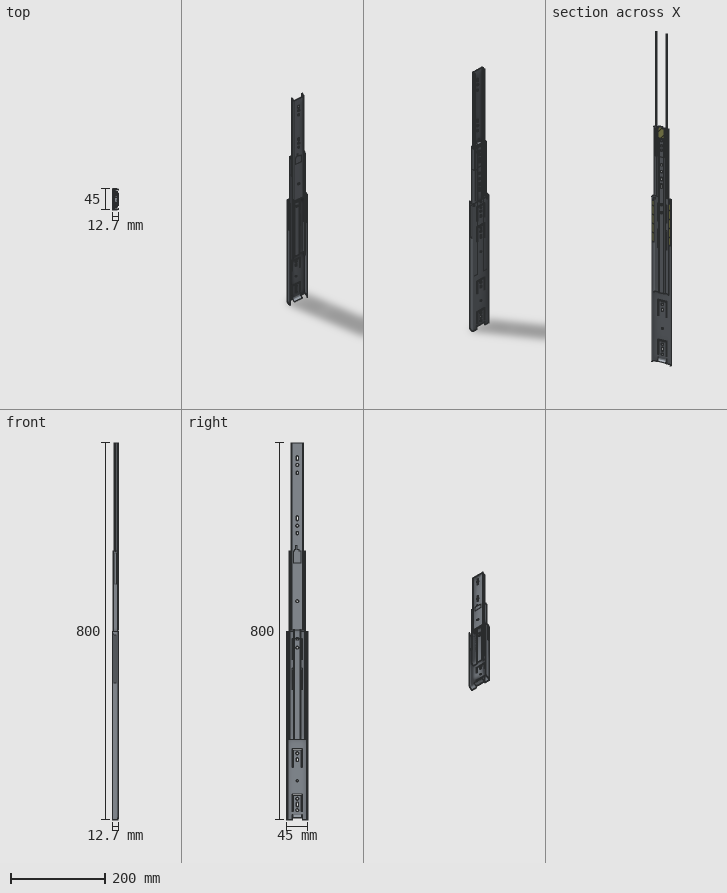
import cadquery as cq
import math

SLIDE_LENGTH = 800.0
SLIDE_WIDTH = 44.98
SLIDE_DEPTH = 12.7
SHEET = 1.2
RUNNING_GAP = 0.05
LIP_BEND_LENGTH = 1.5
LIP_ANGLE = math.radians(17)

OUTER_LENGTH = 400.0
OUTER_HALF = SLIDE_WIDTH / 2
OUTER_BEND = 1.6
OUTER_LIP_START = 8.0
LIP_TRIM_LENGTH = 3.0
LIP_TRIM_DEPTH = 0.6

MIDDLE_BOTTOM = 170.0
MIDDLE_TOP = 570.0
MIDDLE_HALF = 17.5
MIDDLE_BACK = 2.0
MIDDLE_FRONT = 11.4
MIDDLE_BEND = 2.2
MIDDLE_LIP_START = 6.8
SUNK_TOP_HALF = 8.2
SUNK_FLOOR_HALF = 5.4
SUNK_DEPTH = 2.0
SUNK_TOP = MIDDLE_TOP - 2.6

INNER_BOTTOM = 403.0
INNER_TOP = SLIDE_LENGTH
INNER_HALF = 13.4
INNER_BACK = 3.96
INNER_BEND = 1.0
INNER_FLANGE = 2.2
RACE_CENTRE = 8.3
RACE_LENGTH = 3.0
RACE_DEPTH = 0.7

OUTER_RETAINER_BOTTOM = 290.0
OUTER_RETAINER_TOP = 392.0
OUTER_RETAINER_BACK = 4.0
OUTER_RETAINER_FRONT = 8.0
INNER_RETAINER_BOTTOM = 500.0
INNER_RETAINER_TOP = 566.0
INNER_RETAINER_SHEET = 0.6
INNER_RETAINER_HALF = 15.2
INNER_RETAINER_LEG = 1.6
INNER_RETAINER_FRONT = 8.5

LATCH_BODY_BACK = 6.0
LATCH_BODY_HALF = 7.5
LATCH_BODY_BOTTOM = 545.0
LATCH_HEAD_BACK = 4.4
LATCH_HEAD_LEFT = 4.0
LATCH_HEAD_RIGHT = -6.4
LATCH_HEAD_TOP = 573.5
FINGER_WIDTH = 2.6
FINGER_THICKNESS = 1.5
FINGER_CENTRE = -2.4
FINGER_TOP = 582.5

SMALL_HOLE = 4.2
SCREW_HOLE = 5.6
CRIMP_HOLE = 4.6
CRIMP_OFFSET = 18.0
CRIMP_HEIGHT = 394.5
GUIDE_HOLE = 5.0
GUIDE_OFFSET = 8.4
GUIDE_HEIGHT = 555.5
LONG_SLOT = 10.0
SHORT_SLOT = 6.4
OUTER_SMALL_HOLES = [394.0, 375.5, 311.0, 289.0, 282.0, 237.2, 83.0]
OUTER_SCREW_HOLES = [365.2, 301.2, 141.2, 44.6, 20.5]
OUTER_SLOTS = [(349.5, 7.6), (127.7, 8.0), (32.5, LONG_SLOT)]
MIDDLE_SCREW_HOLES = [550.5, 539.5, 526.5, 516.5, 480.7, 463.9, 427.0, 384.5, 365.2]
MIDDLE_SLOTS = [(446.5, LONG_SLOT), (432.5, SHORT_SLOT)]
INNER_SCREW_HOLES = [753.0, 624.0, 463.9]
INNER_SLOTS = [(767.5, LONG_SLOT), (736.0, SHORT_SLOT), (639.8, LONG_SLOT), (608.4, SHORT_SLOT)]

TONGUE_SLITS = [(340.5, 384.5, 2.6), (276.0, 322.0, 4.4), (112.0, 150.8, 2.6), (18.0, 54.4, 2.6)]
SLIT_OUTER_HALF = 11.0
SLIT_INNER_HALF = 8.6
SLIT_CORNER = 1.5

STOP_CUT_HALF = 10.6
STOP_HALF = 10.0
STOP_BOTTOM = 3.5
STOP_BEND = 7.2
STOP_REACH = 11.0


def extrude(outline, bottom, top):
    """Raise an outline drawn in X and Y from one height to another."""
    return outline.extrude(top - bottom).translate((0, 0, bottom))


def box(x_range, y_range, z_range):
    """A block given by its limits along each axis."""
    size = [limits[1] - limits[0] for limits in (x_range, y_range, z_range)]
    corner = (x_range[0], y_range[0], z_range[0])
    return cq.Workplane("XY").box(*size, centered=False).translate(corner)


def lip_points(half, lip_start, front, radius):
    """Middle and end of the lip bend, and the tip of the straight lip after it."""
    bend_points = [
        (lip_start + radius * math.sin(angle), half - radius * (1 - math.cos(angle)))
        for angle in (LIP_ANGLE / 2, LIP_ANGLE)
    ]
    bend_end = bend_points[1]
    tip = (front, bend_end[1] - (front - bend_end[0]) * math.tan(LIP_ANGLE))
    return (*bend_points, tip)


def half_section(half, back, front, bend, lip_start, lip_radius):
    """Solid half of a channel's outline: round web bend at the back, lip leaning in at the front."""
    turn = math.sqrt(0.5)
    lip_middle, lip_end, tip = lip_points(half, lip_start, front, lip_radius)
    return (
        cq.Workplane("XY")
        .moveTo(back, 0)
        .lineTo(back, half - bend)
        .threePointArc((back + bend * (1 - turn), half - bend * (1 - turn)), (back + bend, half))
        .lineTo(lip_start, half)
        .threePointArc(lip_middle, lip_end)
        .lineTo(*tip)
        .lineTo(front, 0)
        .close()
    )


def channel(half, back, front, bend, lip_start, bottom, top):
    """Sheet channel open towards +X, with its flange lips leaning inwards."""
    radius = LIP_BEND_LENGTH / math.sin(LIP_ANGLE)
    shell = extrude(half_section(half, back, front, bend, lip_start, radius), bottom, top)
    hollow_section = half_section(
        half - SHEET, back + SHEET, front, bend - SHEET, lip_start, radius - SHEET
    )
    side = shell.cut(extrude(hollow_section, bottom, top))
    return side.union(side.mirror("XZ"))


def sunk_web(back, half, sheet, bottom, top):
    """Flat web whose middle strip is sunk towards +X between two sloping walls."""
    floor = back + SUNK_DEPTH
    return extrude(
        cq.Workplane("XY").polyline([
            (back, -half),
            (back, -SUNK_TOP_HALF),
            (floor, -SUNK_FLOOR_HALF),
            (floor, SUNK_FLOOR_HALF),
            (back, SUNK_TOP_HALF),
            (back, half),
            (back + sheet, half),
            (back + sheet, SUNK_TOP_HALF),
            (floor + sheet, SUNK_FLOOR_HALF),
            (floor + sheet, -SUNK_FLOOR_HALF),
            (back + sheet, -SUNK_TOP_HALF),
            (back + sheet, -half),
        ]).close(),
        bottom,
        top,
    )


def web_holes(diameter, places):
    """Round cutters along X at the given (Y, Z) places."""
    return cq.Workplane("YZ").pushPoints(places).circle(diameter / 2).extrude(SLIDE_DEPTH)


def web_slots(slots):
    """Upright round-ended cutters along X, on the centre line, as (height, length)."""
    cutters = cq.Workplane("YZ")
    for height, length in slots:
        cutters = cutters.add(
            cq.Workplane("YZ").center(0, height).slot2D(length, SMALL_HOLE, 90).extrude(SLIDE_DEPTH)
        )
    return cutters.combine()


def centred(heights):
    return [(0, height) for height in heights]


def tongue_slit(bottom, top, bar):
    """U-shaped slit through the outer web, open end down."""
    around = box((0, SHEET), (-SLIT_OUTER_HALF, SLIT_OUTER_HALF), (bottom, top))
    around = around.edges("|X and >Z").fillet(SLIT_CORNER)
    tongue = box((0, SHEET), (-SLIT_INNER_HALF, SLIT_INNER_HALF), (bottom, top - bar))
    return around.cut(tongue)


def end_stop():
    """Tab that leaves the web with a round bend and reaches towards +X."""
    turn = math.sqrt(0.5)
    inner_bend = STOP_BEND - SHEET
    bend_top = STOP_BOTTOM + STOP_BEND
    return (
        cq.Workplane("XZ")
        .moveTo(0, bend_top)
        .threePointArc((STOP_BEND * (1 - turn), bend_top - STOP_BEND * turn), (STOP_BEND, STOP_BOTTOM))
        .lineTo(STOP_REACH, STOP_BOTTOM)
        .lineTo(STOP_REACH, STOP_BOTTOM + SHEET)
        .lineTo(STOP_BEND, STOP_BOTTOM + SHEET)
        .threePointArc((STOP_BEND - inner_bend * turn, bend_top - inner_bend * turn), (SHEET, bend_top))
        .close()
        .extrude(STOP_HALF, both=True)
    )


def build_outer_rail():
    rail = channel(OUTER_HALF, 0, SLIDE_DEPTH, OUTER_BEND, OUTER_LIP_START, 0, OUTER_LENGTH)
    rail = rail.cut(web_holes(SMALL_HOLE, centred(OUTER_SMALL_HOLES)))
    rail = rail.cut(web_holes(SCREW_HOLE, centred(OUTER_SCREW_HOLES)))
    rail = rail.cut(web_slots(OUTER_SLOTS))
    crimp_places = [(side * CRIMP_OFFSET, CRIMP_HEIGHT) for side in (-1, 1)]
    rail = rail.cut(web_holes(CRIMP_HOLE, crimp_places))
    for bottom, top, bar in TONGUE_SLITS:
        rail = rail.cut(tongue_slit(bottom, top, bar))
    lip_trim = box(
        (SLIDE_DEPTH - LIP_TRIM_DEPTH, SLIDE_DEPTH), (-OUTER_HALF, OUTER_HALF), (0, LIP_TRIM_LENGTH)
    )
    rail = rail.cut(lip_trim)
    stop_cut = box((0, SHEET), (-STOP_CUT_HALF, STOP_CUT_HALF), (0, STOP_BOTTOM + STOP_BEND))
    return rail.cut(stop_cut).union(end_stop())


def build_middle_rail():
    rail = channel(
        MIDDLE_HALF, MIDDLE_BACK, MIDDLE_FRONT, MIDDLE_BEND, MIDDLE_LIP_START, MIDDLE_BOTTOM, MIDDLE_TOP
    )
    web_gap = box(
        (MIDDLE_BACK, MIDDLE_BACK + SHEET), (-SUNK_TOP_HALF, SUNK_TOP_HALF), (MIDDLE_BOTTOM, SUNK_TOP)
    )
    end_wall = box(
        (MIDDLE_BACK, MIDDLE_BACK + SUNK_DEPTH + SHEET),
        (-SUNK_FLOOR_HALF, SUNK_FLOOR_HALF),
        (SUNK_TOP, SUNK_TOP + SHEET),
    )
    web_half = MIDDLE_HALF - MIDDLE_BEND
    rail = rail.cut(web_gap).union(sunk_web(MIDDLE_BACK, web_half, SHEET, MIDDLE_BOTTOM, SUNK_TOP))
    rail = rail.union(end_wall)
    rail = rail.cut(web_holes(SCREW_HOLE, centred(MIDDLE_SCREW_HOLES)))
    rail = rail.cut(web_slots(MIDDLE_SLOTS))
    guide_places = [(side * GUIDE_OFFSET, GUIDE_HEIGHT) for side in (-1, 1)]
    return rail.cut(web_holes(GUIDE_HOLE, guide_places))


def ball_race(side):
    """Round-bottomed groove along the outside of an inner flange, on the side given by its sign."""
    face = side * INNER_HALF
    groove = (
        cq.Workplane("XY")
        .moveTo(RACE_CENTRE - RACE_LENGTH / 2, face)
        .threePointArc((RACE_CENTRE, face - side * RACE_DEPTH), (RACE_CENTRE + RACE_LENGTH / 2, face))
        .close()
    )
    return extrude(groove, INNER_BOTTOM, INNER_TOP)


def build_inner_rail():
    z_range = (INNER_BOTTOM, INNER_TOP)
    rail = box((INNER_BACK, SLIDE_DEPTH), (-INNER_HALF, INNER_HALF), z_range)
    rail = rail.edges("|Z and >X").fillet(INNER_BEND)
    hollow_half = INNER_HALF - INNER_FLANGE
    rail = rail.cut(box((INNER_BACK, SLIDE_DEPTH - SHEET), (-hollow_half, hollow_half), z_range))
    for side in (-1, 1):
        rail = rail.cut(ball_race(side))
    rail = rail.cut(web_holes(SCREW_HOLE, centred(INNER_SCREW_HOLES)))
    return rail.cut(web_slots(INNER_SLOTS))


def build_outer_retainer(side):
    """Ball strip between an outer and a middle flange, on the side given by its sign."""
    limits = sorted((side * (MIDDLE_HALF + RUNNING_GAP), side * (OUTER_HALF - SHEET - RUNNING_GAP)))
    return box(
        (OUTER_RETAINER_BACK, OUTER_RETAINER_FRONT), limits, (OUTER_RETAINER_BOTTOM, OUTER_RETAINER_TOP)
    )


def build_inner_retainer():
    """Ball retainer that lies on the middle web, with a leg along each flange of the inner rail."""
    back = MIDDLE_BACK + SHEET + RUNNING_GAP
    z_range = (INNER_RETAINER_BOTTOM, INNER_RETAINER_TOP)
    retainer = sunk_web(back, INNER_RETAINER_HALF, INNER_RETAINER_SHEET, *z_range)
    for side in (-1, 1):
        limits = sorted((side * INNER_RETAINER_HALF, side * (INNER_RETAINER_HALF - INNER_RETAINER_LEG)))
        retainer = retainer.union(box((back, INNER_RETAINER_FRONT), limits, z_range))
    return retainer


def build_latch():
    """Latch that lies on the back of the inner web, with its head and finger above the middle rail."""
    web_back = SLIDE_DEPTH - SHEET
    shoulder = MIDDLE_TOP + RUNNING_GAP
    body = box(
        (LATCH_BODY_BACK, web_back), (-LATCH_BODY_HALF, LATCH_BODY_HALF), (LATCH_BODY_BOTTOM, shoulder)
    )
    head = box((LATCH_HEAD_BACK, web_back), (LATCH_HEAD_RIGHT, LATCH_HEAD_LEFT), (shoulder, LATCH_HEAD_TOP))
    finger = box(
        (web_back - FINGER_THICKNESS, web_back),
        (FINGER_CENTRE - FINGER_WIDTH / 2, FINGER_CENTRE + FINGER_WIDTH / 2),
        (LATCH_HEAD_TOP, FINGER_TOP),
    )
    return body.union(head).union(finger)


outer_rail = build_outer_rail()
middle_rail = build_middle_rail()
inner_rail = build_inner_rail()
outer_retainers = [build_outer_retainer(side) for side in (-1, 1)]
inner_retainer = build_inner_retainer()
latch = build_latch()

result = cq.Compound.makeCompound([
    outer_rail.solids().val(),
    middle_rail.solids().val(),
    inner_rail.solids().val(),
    *[retainer.val() for retainer in outer_retainers],
    inner_retainer.solids().val(),
    latch.solids().val(),
])